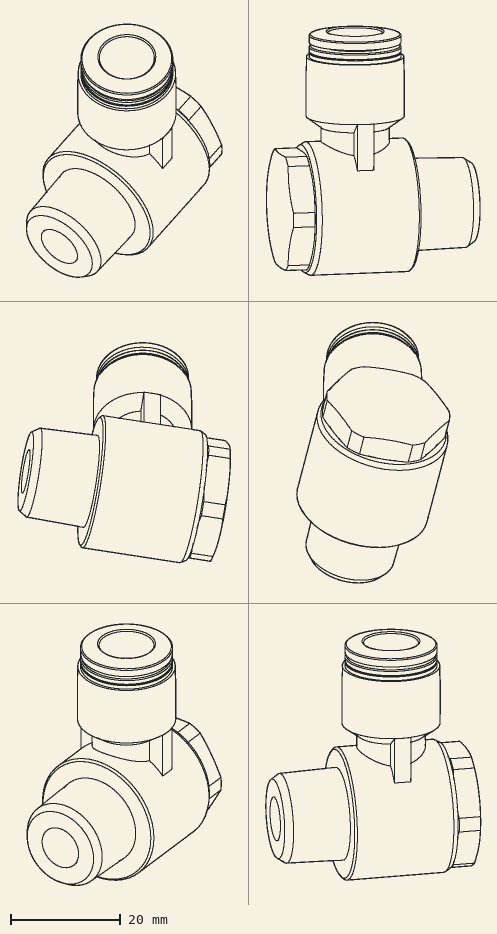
import cadquery as cq


sleeve_radius = 12.2
sleeve_front = -9.7
sleeve_back = 9.75
sleeve_front_chamfer = 0.4
sleeve_back_chamfer_length = 0.95
sleeve_back_chamfer_depth = 0.55

hex_across_flats = 21.0
hex_corner_radius = 11.45
head_back = 14.25
head_chamfer_length = 0.25
head_chamfer_depth = 0.9

stub_front = -21.72
stub_root_radius = 8.5
stub_end_radius = 8.22
stub_chamfer_length = 1.45
stub_tip_radius = 7.3

neck_radius = 6.25
cone_bottom = 14.8
socket_bottom = 16.8
socket_bottom_radius = 9.0
socket_shoulder = 24.8
socket_radius = 9.0
socket_top = 27.8
socket_top_radius = 8.9

collar_radius = 8.4
groove_radius = 8.25
groove_bottom = 28.5
groove_top = 28.75
collar_top = 29.8
collar_bevel = 0.22
ring_neck_radius = 6.0
ring_bottom = 30.45
ring_edge_top = 31.95
ring_top = 44.7 - sleeve_radius
ring_mouth_radius = 5.27

passage_radius = 8.0 / 2
tube_bore_radius = 10.0 / 2
tube_stop = socket_bottom
mouth_chamfer = ring_mouth_radius - tube_bore_radius

rib_span = 17.92
rib_thickness = 3.1


def turned_about_y(profile):
    """Revolve a list of (radius, y) points, closed along the Y axis."""
    points = [(0, profile[0][1])] + profile + [(0, profile[-1][1])]
    return cq.Workplane("XY").polyline(points).close().revolve(360, (0, 0, 0), (0, 1, 0))


def turned_about_z(profile):
    """Revolve a list of (radius, z) points, closed along the Z axis."""
    points = [(0, profile[0][1])] + profile + [(0, profile[-1][1])]
    return cq.Workplane("XZ").polyline(points).close().revolve(360, (0, 0, 0), (0, 1, 0))


def make_sleeve_and_stub():
    return turned_about_y([
        (stub_tip_radius, stub_front),
        (stub_end_radius, stub_front + stub_chamfer_length),
        (stub_root_radius, sleeve_front),
        (sleeve_radius - sleeve_front_chamfer, sleeve_front),
        (sleeve_radius, sleeve_front + sleeve_front_chamfer),
        (sleeve_radius, sleeve_back - sleeve_back_chamfer_length),
        (sleeve_radius - sleeve_back_chamfer_depth, sleeve_back),
    ])


def make_hex_head():
    prism = (
        cq.Workplane("XZ", origin=(0, head_back, 0))
        .polygon(6, hex_across_flats, circumscribed=True)
        .extrude(head_back - sleeve_back)
        .rotate((0, 0, 0), (0, 1, 0), 30)
    )
    corner_turning = turned_about_y([
        (hex_corner_radius - head_chamfer_depth, sleeve_back),
        (hex_corner_radius, sleeve_back + head_chamfer_length),
        (hex_corner_radius, head_back - head_chamfer_length),
        (hex_corner_radius - head_chamfer_depth, head_back),
    ])
    return prism.intersect(corner_turning)


def make_socket():
    return turned_about_z([
        (neck_radius, 0),
        (neck_radius, cone_bottom),
        (socket_bottom_radius, socket_bottom),
        (socket_radius, socket_shoulder),
        (socket_top_radius, socket_top),
        (collar_radius, socket_top),
        (collar_radius, groove_bottom),
        (groove_radius, groove_bottom),
        (groove_radius, groove_top),
        (collar_radius, groove_top),
        (collar_radius, collar_top - collar_bevel),
        (collar_radius - collar_bevel, collar_top),
        (ring_neck_radius, collar_top),
        (ring_neck_radius, ring_bottom),
        (collar_radius, ring_bottom),
        (collar_radius, ring_edge_top - collar_bevel),
        (collar_radius - collar_bevel, ring_edge_top),
        (ring_mouth_radius, ring_top),
    ])


def make_ribs():
    return cq.Workplane("XY").rect(rib_span, rib_thickness).extrude(socket_bottom)


def make_passages():
    """Elbow passage with a ball-shaped corner, widened for the tube."""
    front_bore = cq.Workplane("XZ").circle(passage_radius).extrude(-stub_front)
    corner = cq.Workplane("XY").sphere(passage_radius)
    upper_bore = turned_about_z([
        (passage_radius, 0),
        (passage_radius, tube_stop),
        (tube_bore_radius, tube_stop),
        (tube_bore_radius, ring_top - mouth_chamfer),
        (ring_mouth_radius, ring_top),
    ])
    return front_bore.union(corner).union(upper_bore)


result = (
    make_sleeve_and_stub()
    .union(make_hex_head())
    .union(make_socket())
    .union(make_ribs())
    .cut(make_passages())
)